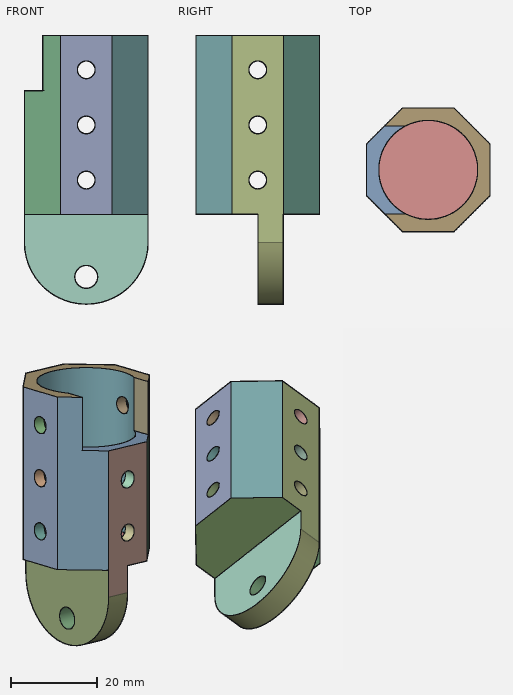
import cadquery as cq
import math

total_height = 61.9
width = 28.55
tube_height = 41.25
bore_diameter = 22.8
floor_thickness = 3.0

hole_diameter = 4.0
hole_pitch = 12.7
top_hole_depth = 7.9
holes_per_face = 3

notch_width = 20.3
notch_height = 12.7

tang_hole_diameter = 5.2
tang_hole_height = 6.3

half_width = width / 2
half_facet_angle = 180 / 8
flat_width = width * math.tan(math.radians(half_facet_angle))
tang_thickness = flat_width / 2
tube_bottom = total_height - tube_height


def octagonal_socket():
    """Octagonal tube with flats facing the axes and a closed lower end."""
    across_corners = width / math.cos(math.radians(half_facet_angle))
    body = (
        cq.Workplane("XY")
        .polygon(8, across_corners)
        .extrude(tube_height)
        .rotate((0, 0, 0), (0, 0, 1), half_facet_angle)
        .translate((0, 0, tube_bottom))
    )
    bore = (
        cq.Workplane("XY", origin=(0, 0, tube_bottom + floor_thickness))
        .circle(bore_diameter / 2)
        .extrude(tube_height)
    )
    return body.cut(bore)


def rim_notch():
    """Opening through the -X wall at the rim."""
    return cq.Workplane("XY").box(
        half_width, notch_width, notch_height, centered=(False, True, False)
    ).translate((-half_width, 0, total_height - notch_height))


def cross_holes():
    """Rows of holes passing through the tube along X and along Y."""
    heights = [total_height - top_hole_depth - i * hole_pitch for i in range(holes_per_face)]
    points = [(0, z) for z in heights]
    along_y = cq.Workplane("XZ").pushPoints(points).circle(hole_diameter / 2).extrude(half_width, both=True)
    along_x = cq.Workplane("YZ").pushPoints(points).circle(hole_diameter / 2).extrude(half_width, both=True)
    return along_y.union(along_x)


def tang():
    """Round-ended plate below the tube, with its front face on the tube axis."""
    plate = (
        cq.Workplane("XZ")
        .moveTo(-half_width, tube_bottom)
        .lineTo(-half_width, half_width)
        .threePointArc((0, 0), (half_width, half_width))
        .lineTo(half_width, tube_bottom)
        .close()
        .extrude(-tang_thickness)
    )
    pin_hole = (
        cq.Workplane("XZ")
        .center(0, tang_hole_height)
        .circle(tang_hole_diameter / 2)
        .extrude(-tang_thickness)
    )
    return plate.cut(pin_hole)


result = octagonal_socket().cut(rim_notch()).cut(cross_holes()).union(tang())